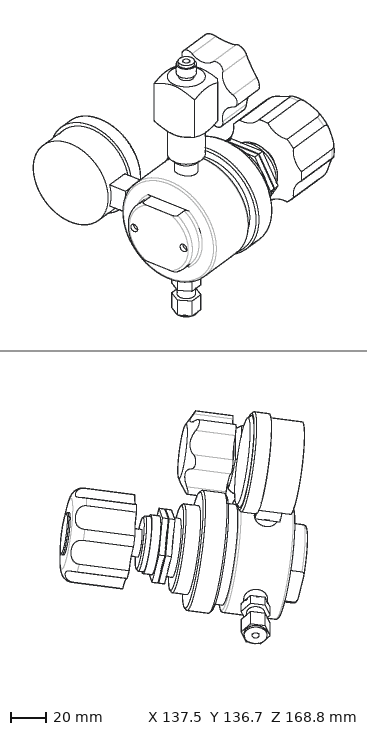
import cadquery as cq
import math


body_front_y = -16.9
body_back_y = 15.5
body_radius = 33.0
body_edge = 1.2
waist_radius = 28.9
ring_front_y = 21.6
ring_back_y = 36.3
ring_radius = 34.5
ring_edge = 1.2
bonnet_end_y = 45.9
bonnet_radius = 25.5
bonnet_edge = 1.2
neck_end_y = 62.8
neck_radius = 16.9
tip_end_y = 66.8
tip_radius = 15.9
tip_edge = 1.2
spindle_radius = 8.0

plug_end_y = -26.2
plug_radius = 22.5
plug_edge = 1.7
plug_foot = 1.4
plug_half_height = 18.9
pin_hole_x = 17.4
pin_hole_radius = 2.4
pin_hole_depth = 2.7
pin_hole_point_angle = 118

nut_pair_start_y = 50.5
nut_pair_end_y = 57.7
nut_pair_gap = 0.5
panel_nut_across_flats = 38.1

knob_start_y = 73.5
knob_end_y = 109.0
knob_radius = 27.0
knob_edge = 6.8
knob_flutes = 8
knob_land_angle = 13.4
knob_flute_depth = 3.0
cap_radius = 12.2
cap_end_y = 110.5
cap_edge = 0.7

stub_radius = 6.8
port_depth = 5.0
port_floor = body_radius - port_depth
bore_radius = 2.0

gauge_x = -74.3
gauge_back_y = -10.0
gauge_radius = 26.5
bezel_start_y = 9.5
bezel_end_y = 19.2
bezel_radius = 28.7
bezel_edge = 1.2
lens_base_radius = 26.3
lens_radius = 24.8
lens_end_y = 21.1
shank_size = 14.3
shank_end_x = -37.5

valve_top_z = 106.0
valve_nut_top_z = 104.1
valve_nut_bottom_z = 98.0
valve_nut_radius = 5.7
nipple_radius = 4.7
valve_neck_radius = 4.4
block_top_z = 95.5
block_bottom_z = 61.6
block_half_width = 14.3
block_front_y = -11.5
block_back_y = 13.8
block_corner_x = 2.7
block_corner_y = 3.2
collar_radius = 10.8
block_cone_angle = 30
collar_bottom_z = 43.2
collar_taper = 3.2

handle_x = -0.3
handle_z = 79.0
handle_start_y = 15.7
handle_end_y = 42.2
handle_radius = 24.6
lobe_count = 6
lobe_radius = 4.4
valley_radius = 18.0
handle_face_radius = 15.5
handle_cone_angle = 30
hub_radius = 9.8
hub_end_radius = 8.3

fitting_across_flats = 14.5
fitting_hex_top_z = -38.3
fitting_hex_bottom_z = -44.7
fitting_neck_radius = 5.2
fitting_nut_top_z = -51.3
fitting_nut_bottom_z = -61.5
fitting_end_radius = 6.5
fitting_bottom_z = -62.8


def y_cylinder(radius, start, end, x=0, z=0):
    """Cylinder along Y between two stations."""
    return cq.Workplane("XZ", origin=(x, start, z)).circle(radius).extrude(start - end)


def z_cylinder(radius, start, end):
    """Cylinder on the flow axis between two heights."""
    return cq.Workplane("XY", origin=(0, 0, start)).circle(radius).extrude(end - start)


def x_cylinder(radius, start, end):
    """Cylinder along X through the origin between two stations."""
    return cq.Workplane("YZ", origin=(start, 0, 0)).circle(radius).extrude(end - start)


def revolve_about_y(profile, x=0, z=0):
    """Turn a closed (radius, y) outline about a line along Y."""
    return (
        cq.Workplane("XY")
        .polyline(profile)
        .close()
        .revolve(360, (0, 0), (0, 1))
        .translate((x, 0, z))
    )


def revolve_about_z(profile):
    """Turn a closed (radius, z) outline about the flow axis."""
    return cq.Workplane("XZ").polyline(profile).close().revolve(360, (0, 0), (0, 1))


def polar(radius, angle):
    """Point at a radius and an angle in degrees."""
    return (radius * math.cos(math.radians(angle)), radius * math.sin(math.radians(angle)))


def hex_corner_diameter(across_flats):
    return across_flats / math.cos(math.pi / 6)


def fitting_hex(start, end):
    """Hexagon on the flow axis with two corners on the Y axis."""
    return (
        cq.Workplane("XY", origin=(0, 0, start))
        .polygon(6, hex_corner_diameter(fitting_across_flats))
        .extrude(end - start)
        .rotate((0, 0, 0), (0, 0, 1), 90)
    )


def between_plug_flats(solid):
    """Keep only the part of a round shape that lies between the plug flats."""
    slab = cq.Workplane("XY").box(4 * body_radius, 4 * body_radius, 2 * plug_half_height)
    return solid.intersect(slab)


def make_plug():
    edge_center = (plug_radius - plug_edge, plug_end_y + plug_edge)
    foot_center = (plug_radius + plug_foot, body_front_y - plug_foot)
    diagonal = math.sqrt(0.5)
    turned = (
        cq.Workplane("XY")
        .moveTo(0, plug_end_y)
        .lineTo(edge_center[0], plug_end_y)
        .threePointArc(
            (edge_center[0] + diagonal * plug_edge, edge_center[1] - diagonal * plug_edge),
            (plug_radius, edge_center[1]),
        )
        .lineTo(plug_radius, foot_center[1])
        .threePointArc(
            (foot_center[0] - diagonal * plug_foot, foot_center[1] + diagonal * plug_foot),
            (foot_center[0], body_front_y),
        )
        .lineTo(0, body_front_y)
        .close()
        .revolve(360, (0, 0), (0, 1))
    )
    plug = between_plug_flats(turned)

    point_length = pin_hole_radius / math.tan(math.radians(pin_hole_point_angle / 2))
    pin_hole_profile = [
        (0, plug_end_y),
        (pin_hole_radius, plug_end_y),
        (pin_hole_radius, plug_end_y + pin_hole_depth),
        (0, plug_end_y + pin_hole_depth + point_length),
    ]
    for x in (-pin_hole_x, pin_hole_x):
        plug = plug.cut(revolve_about_y(pin_hole_profile, x=x))
    return plug


def make_panel_nut(start, end):
    """Hexagon on the Y axis with two corners pointing along X."""
    corner_diameter = hex_corner_diameter(panel_nut_across_flats)
    return cq.Workplane("XZ", origin=(0, start, 0)).polygon(6, corner_diameter).extrude(start - end)


def make_knob():
    knob = y_cylinder(knob_radius, knob_start_y, knob_end_y).faces(">Y").edges().fillet(knob_edge)

    pitch = 360 / knob_flutes
    half_angle = math.radians((pitch - knob_land_angle) / 2)
    half_chord = knob_radius * math.sin(half_angle)
    sagitta = knob_flute_depth - knob_radius * (1 - math.cos(half_angle))
    flute_radius = (half_chord**2 + sagitta**2) / (2 * sagitta)
    flute_center = knob_radius - knob_flute_depth + flute_radius
    for i in range(knob_flutes):
        x, z = polar(flute_center, (i + 0.5) * pitch)
        knob = knob.cut(y_cylinder(flute_radius, knob_start_y, knob_end_y, x, z))

    cap = y_cylinder(cap_radius, knob_start_y, cap_end_y).faces(">Y").chamfer(cap_edge)
    return knob.union(cap)


def make_regulator():
    body = y_cylinder(body_radius, body_front_y, body_back_y).faces("<Y or >Y").edges().fillet(body_edge)
    regulator = body.union(make_plug())

    regulator = regulator.union(y_cylinder(waist_radius, body_back_y, ring_front_y))
    ring = y_cylinder(ring_radius, ring_front_y, ring_back_y)
    regulator = regulator.union(ring.faces("<Y or >Y").chamfer(ring_edge))
    bonnet = y_cylinder(bonnet_radius, ring_back_y, bonnet_end_y)
    regulator = regulator.union(bonnet.faces(">Y").chamfer(bonnet_edge))
    regulator = regulator.union(y_cylinder(neck_radius, bonnet_end_y, neck_end_y))
    tip = y_cylinder(tip_radius, neck_end_y, tip_end_y)
    regulator = regulator.union(tip.faces(">Y").chamfer(tip_edge))

    nut_thickness = (nut_pair_end_y - nut_pair_start_y - nut_pair_gap) / 2
    for start in (nut_pair_start_y, nut_pair_end_y - nut_thickness):
        regulator = regulator.union(make_panel_nut(start, start + nut_thickness))

    regulator = regulator.union(y_cylinder(spindle_radius, tip_end_y, knob_start_y))
    regulator = regulator.union(make_knob())

    regulator = regulator.cut(z_cylinder(stub_radius, port_floor, ring_radius))
    regulator = regulator.cut(z_cylinder(stub_radius, -port_floor, -ring_radius))
    regulator = regulator.cut(x_cylinder(stub_radius, -port_floor, -ring_radius))
    return regulator.cut(z_cylinder(bore_radius, -port_floor, port_floor))


def make_gauge():
    gauge = revolve_about_y(
        [
            (0, gauge_back_y),
            (gauge_radius, gauge_back_y),
            (gauge_radius, bezel_start_y),
            (bezel_radius, bezel_start_y),
            (bezel_radius, bezel_end_y - bezel_edge),
            (bezel_radius - bezel_edge, bezel_end_y),
            (lens_base_radius, bezel_end_y),
            (lens_radius, lens_end_y),
            (0, lens_end_y),
        ],
        x=gauge_x,
    )
    shank_length = shank_end_x - gauge_x
    shank = cq.Workplane("YZ", origin=(gauge_x, 0, 0)).rect(shank_size, shank_size).extrude(shank_length)
    return gauge.union(shank).union(x_cylinder(stub_radius, shank_end_x, -port_floor))


def make_valve():
    block = (
        cq.Workplane("XY", origin=(0, 0, block_bottom_z))
        .polyline(
            [
                (-block_half_width, block_front_y),
                (block_half_width, block_front_y),
                (block_half_width, block_back_y - block_corner_y),
                (block_half_width - block_corner_x, block_back_y),
                (-block_half_width + block_corner_x, block_back_y),
                (-block_half_width, block_back_y - block_corner_y),
            ]
        )
        .close()
        .extrude(block_top_z - block_bottom_z)
    )

    envelope_radius = 2 * block_half_width
    cone_drop = (envelope_radius - collar_radius) * math.tan(math.radians(block_cone_angle))
    block = block.intersect(
        revolve_about_z(
            [
                (0, block_bottom_z),
                (collar_radius, block_bottom_z),
                (envelope_radius, block_bottom_z + cone_drop),
                (envelope_radius, block_top_z - cone_drop),
                (collar_radius, block_top_z),
                (0, block_top_z),
            ]
        )
    )

    collar = z_cylinder(collar_radius, collar_bottom_z - collar_taper, block_bottom_z)
    valve = block.union(collar.faces("<Z").chamfer(collar_taper))
    valve = valve.union(z_cylinder(stub_radius, port_floor, collar_bottom_z))
    valve = valve.union(z_cylinder(valve_neck_radius, block_top_z, valve_nut_bottom_z))
    valve = valve.union(z_cylinder(valve_nut_radius, valve_nut_bottom_z, valve_nut_top_z))
    valve = valve.union(z_cylinder(nipple_radius, valve_nut_top_z, valve_top_z))
    return valve.cut(z_cylinder(bore_radius, port_floor, valve_top_z))


def make_handle():
    step = 360 / lobe_count
    half_step = math.radians(step / 2)
    lobe_center = handle_radius - lobe_radius
    reach = valley_radius - lobe_radius
    valley_center = (lobe_center**2 - reach**2) / (2 * (lobe_center * math.cos(half_step) - reach))
    valley_arc = valley_center - valley_radius

    def tangent_point(lobe_angle, valley_angle):
        lobe = polar(lobe_center, lobe_angle)
        valley = polar(valley_center, valley_angle)
        share = lobe_radius / (lobe_radius + valley_arc)
        return tuple(a + share * (b - a) for a, b in zip(lobe, valley))

    outline = cq.Workplane("XZ", origin=(handle_x, handle_start_y, handle_z))
    outline = outline.moveTo(*tangent_point(0, -step / 2))
    for i in range(lobe_count):
        angle = i * step
        valley_angle = angle + step / 2
        outline = outline.threePointArc(polar(handle_radius, angle), tangent_point(angle, valley_angle))
        outline = outline.threePointArc(
            polar(valley_radius, valley_angle), tangent_point(angle + step, valley_angle)
        )
    handle = outline.close().extrude(handle_start_y - handle_end_y)

    cone_drop = (handle_radius - handle_face_radius) * math.tan(math.radians(handle_cone_angle))
    envelope = revolve_about_y(
        [
            (0, handle_start_y),
            (handle_radius, handle_start_y),
            (handle_radius, handle_end_y - cone_drop),
            (handle_face_radius, handle_end_y),
            (0, handle_end_y),
        ],
        x=handle_x,
        z=handle_z,
    )
    hub = revolve_about_y(
        [
            (0, block_back_y),
            (hub_end_radius, block_back_y),
            (hub_radius, handle_start_y),
            (0, handle_start_y),
        ],
        z=(block_top_z + block_bottom_z) / 2,
    )
    return handle.intersect(envelope).union(hub)


def make_fitting():
    fitting = z_cylinder(stub_radius, -port_floor, fitting_hex_top_z)
    fitting = fitting.union(fitting_hex(fitting_hex_top_z, fitting_hex_bottom_z))
    fitting = fitting.union(z_cylinder(fitting_neck_radius, fitting_hex_bottom_z, fitting_nut_top_z))
    fitting = fitting.union(fitting_hex(fitting_nut_top_z, fitting_nut_bottom_z))
    fitting = fitting.union(z_cylinder(fitting_end_radius, fitting_nut_bottom_z, fitting_bottom_z))
    return fitting.cut(z_cylinder(bore_radius, -port_floor, fitting_bottom_z))


regulator = make_regulator()
gauge = make_gauge()
valve = make_valve()
handle = make_handle()
fitting = make_fitting()

result = cq.Compound.makeCompound(
    [regulator.val(), gauge.val(), valve.val(), handle.val(), fitting.val()]
)